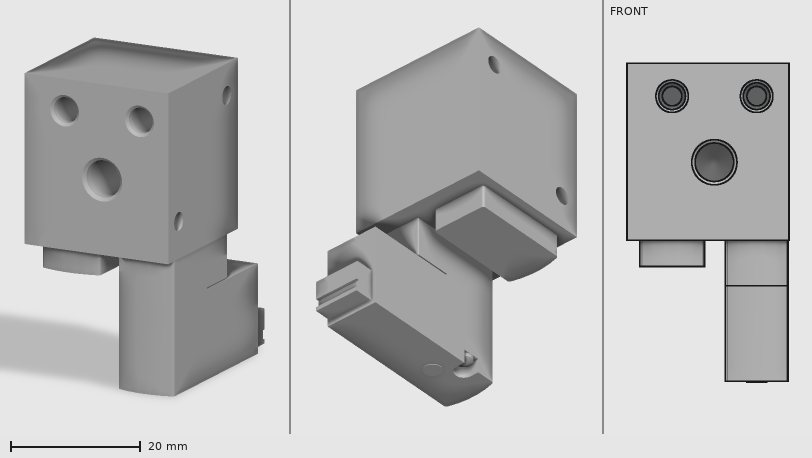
import cadquery as cq


overall_height = 49.1

block_width = 25.0
block_depth = 23.0
block_height = 27.3

port_depth = 9.8
small_port_diameter = 4.1
small_port_mouth = 5.0
small_port_floor = 3.0
small_port_spacing = 13.0
left_small_port_x = 6.95
small_port_z = 22.2
main_port_diameter = 5.95
main_port_mouth = 6.95
main_port_x = left_small_port_x + small_port_spacing / 2
main_port_z = 12.02
drill_tip_slope = 0.6

cross_hole_diameter = 3.0
cross_holes = [(19.35, 22.2), (3.45, 6.0)]

front_y = 1.4
front_bow = 0.8
corner_radius = 0.45

cap_left = 1.95
cap_width = 10.0
cap_back = 19.7
cap_height = 4.02

coil_center_x = 20.0
coil_width = 9.7
spacer_back = 19.85
spacer_height = 6.95
spacer_back_radius = 0.2
coil_back = 29.9
coil_bottom = -21.7
step_y = 13.1
step_drop = 0.3

plug_width = 8.25
plug_back = 33.45
plug_top = -15.3
plug_bottom = -21.05
plug_round = 0.35
groove_top = -18.8
groove_bottom = -20.3
groove_depth = 0.55

pocket_width = 3.3
pocket_height = 2.55
pocket_y = 7.35
screw_diameter = 3.0
screw_inset = 1.5
screw_rim_height = 0.65
screw_dome_height = 0.55

button_diameter = 3.1
button_y = 10.85
button_height = overall_height - block_height + coil_bottom

coil_left = coil_center_x - coil_width / 2
pocket_top = coil_bottom + pocket_height
screw_x = coil_left + screw_inset


def box_between(x_range, y_range, z_range):
    """Box given by its lower and upper limit along each axis."""
    return cq.Workplane("XY").box(
        x_range[1] - x_range[0],
        y_range[1] - y_range[0],
        z_range[1] - z_range[0],
        centered=False,
    ).translate((x_range[0], y_range[0], z_range[0]))


def bowed_prism(left, width, back, top, bottom, back_radius=0):
    """Upright prism with a bowed front, rounded front corners and optionally rounded back corners."""
    right = left + width
    side_front = front_y + front_bow
    prism = (
        cq.Workplane("XY", origin=(0, 0, bottom))
        .moveTo(left, back)
        .lineTo(left, side_front)
        .threePointArc((left + width / 2, front_y), (right, side_front))
        .lineTo(right, back)
        .close()
        .extrude(top - bottom)
    )
    prism = prism.edges("|Z").edges("<Y").fillet(corner_radius)
    if back_radius:
        prism = prism.faces(">Y").edges("|Z").fillet(back_radius)
    return prism


def port_cutter(x, z, diameter, mouth, floor_diameter):
    """Port bored from the front: chamfered mouth, straight bore and a conical end, flat if it has a floor."""
    bore = diameter / 2
    chamfer = mouth / 2 - bore
    floor = floor_diameter / 2
    end = port_depth + (bore - floor) * drill_tip_slope
    profile = [(0, 0), (mouth / 2, 0), (bore, chamfer), (bore, port_depth)]
    if floor:
        profile.append((floor, end))
    profile.append((0, end))
    return cq.Workplane("XY").polyline(profile).close().revolve(360, (0, 0, 0), (0, 1, 0)).translate((x, 0, z))


def make_block():
    block = cq.Workplane("XY").box(block_width, block_depth, block_height, centered=False)
    for x in (left_small_port_x, left_small_port_x + small_port_spacing):
        block = block.cut(port_cutter(x, small_port_z, small_port_diameter, small_port_mouth, small_port_floor))
    block = block.cut(port_cutter(main_port_x, main_port_z, main_port_diameter, main_port_mouth, 0))
    holes = cq.Workplane("YZ").pushPoints(cross_holes).circle(cross_hole_diameter / 2).extrude(block_width)
    return block.cut(holes)


def make_cap():
    return bowed_prism(cap_left, cap_width, cap_back, 0, -cap_height, corner_radius)


def make_spacer():
    return bowed_prism(coil_left, coil_width, spacer_back, 0, -spacer_height, spacer_back_radius)


def make_plug():
    """Plug with a rounded upper back edge, a groove across its back and flared rounds at its root."""
    plug_profile = (
        cq.Workplane("YZ", origin=(coil_center_x - plug_width / 2, 0, 0))
        .moveTo(coil_back, plug_top + plug_round)
        .radiusArc((coil_back + plug_round, plug_top), -plug_round)
        .lineTo(plug_back - plug_round, plug_top)
        .radiusArc((plug_back, plug_top - plug_round), plug_round)
        .lineTo(plug_back, groove_top)
        .lineTo(plug_back - groove_depth, groove_top)
        .lineTo(plug_back - groove_depth, groove_bottom)
        .lineTo(plug_back, groove_bottom)
        .lineTo(plug_back, plug_bottom)
        .lineTo(coil_back + plug_round, plug_bottom)
        .radiusArc((coil_back, plug_bottom - plug_round), -plug_round)
        .close()
    )
    return plug_profile.extrude(plug_width)


def make_coil():
    coil = bowed_prism(coil_left, coil_width, coil_back, -spacer_height, coil_bottom)
    coil_right = coil_left + coil_width
    step = box_between(
        (coil_left, coil_right), (step_y, coil_back), (-spacer_height - step_drop, -spacer_height)
    )
    pocket_mouth = box_between(
        (coil_left, screw_x),
        (pocket_y - pocket_width / 2, pocket_y + pocket_width / 2),
        (coil_bottom, pocket_top),
    )
    pocket_end = (
        cq.Workplane("XY", origin=(screw_x, pocket_y, coil_bottom))
        .circle(pocket_width / 2)
        .extrude(pocket_height)
    )
    return coil.cut(step).cut(pocket_mouth).cut(pocket_end).union(make_plug())


def make_screw():
    """Domed screw head seated on the ceiling of the pocket."""
    radius = screw_diameter / 2
    dome_radius = (radius**2 + screw_dome_height**2) / (2 * screw_dome_height)
    return (
        cq.Workplane("XZ")
        .lineTo(radius, 0)
        .lineTo(radius, -screw_rim_height)
        .radiusArc((0, -screw_rim_height - screw_dome_height), dome_radius)
        .close()
        .revolve(360, (0, 0, 0), (0, 1, 0))
        .translate((screw_x, pocket_y, pocket_top))
    )


def make_button():
    return (
        cq.Workplane("XY", origin=(coil_center_x, button_y, coil_bottom))
        .circle(button_diameter / 2)
        .extrude(-button_height)
    )


block = make_block()
cap = make_cap()
spacer = make_spacer()
coil = make_coil()
screw = make_screw()
button = make_button()

result = cq.Compound.makeCompound(
    [
        block.solids().val(),
        cap.solids().val(),
        spacer.solids().val(),
        coil.solids().val(),
        screw.solids().val(),
        button.solids().val(),
    ]
)